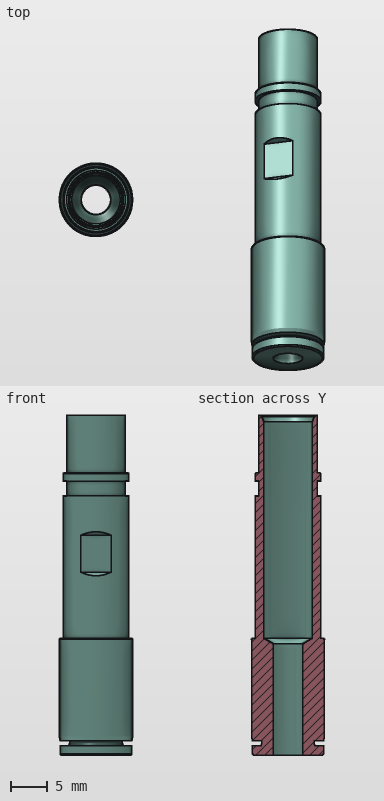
import math

import cadquery as cq

total_length = 46.4

barrel_radius = 5.0
flange_radius = 4.9
groove_radius = 3.6
groove_foot_radius = 3.7
body_radius = 4.5
tube_radius = 4.0

flange_top = 1.35
groove_foot_top = 1.7
groove_top = 2.0
barrel_taper_top = 2.6
barrel_top = 16.0
body_top = 35.4
collar_bottom = 37.4
collar_top = 38.55

flange_chamfer = 0.2
barrel_chamfer = 0.15
collar_chamfer = 0.15

through_radius = 2.0
bore_radius = 3.3
mouth_radius = 3.55
mouth_depth = 0.9
mouth_chamfer = 0.2
bore_floor = barrel_top
bore_cone_angle = 30.0
bore_cone_height = (bore_radius - through_radius) * math.tan(math.radians(bore_cone_angle))

flat_offset = 4.0
flat_center = 27.5
flat_length = 5.0
flat_depth = body_radius - flat_offset


def outer_body():
    """Revolve the stepped outside, including the snap groove and the collar."""
    profile = [
        (0, 0),
        (flange_radius - flange_chamfer, 0),
        (flange_radius, flange_chamfer),
        (flange_radius, flange_top),
        (groove_foot_radius, flange_top),
        (groove_radius, groove_foot_top),
        (groove_radius, groove_top),
        (flange_radius, groove_top),
        (barrel_radius, barrel_taper_top),
        (barrel_radius, barrel_top - barrel_chamfer),
        (barrel_radius - barrel_chamfer, barrel_top),
        (body_radius, barrel_top),
        (body_radius, body_top),
        (tube_radius, body_top),
        (tube_radius, collar_bottom),
        (body_radius, collar_bottom),
        (body_radius, collar_top - collar_chamfer),
        (body_radius - collar_chamfer, collar_top),
        (tube_radius, collar_top),
        (tube_radius, total_length),
        (0, total_length),
    ]
    return cq.Workplane("XZ").polyline(profile).close().revolve(360, (0, 0), (0, 1))


def bore():
    """Through hole, cone up to the main bore, then a tapered mouth with a chamfered rim."""
    profile = [
        (0, 0),
        (through_radius, 0),
        (through_radius, bore_floor - bore_cone_height),
        (bore_radius, bore_floor),
        (bore_radius, total_length - mouth_depth),
        (mouth_radius, total_length - mouth_chamfer),
        (mouth_radius + mouth_chamfer, total_length),
        (0, total_length),
    ]
    return cq.Workplane("XZ").polyline(profile).close().revolve(360, (0, 0), (0, 1))


def wrench_flat(side):
    """Flat with 45 degree end ramps; side is -1 for -Y and +1 for +Y."""
    half_floor = flat_length / 2
    half_opening = half_floor + flat_depth
    profile = [
        (side * flat_offset, flat_center - half_floor),
        (side * body_radius, flat_center - half_opening),
        (side * body_radius, flat_center + half_opening),
        (side * flat_offset, flat_center + half_floor),
    ]
    return cq.Workplane("YZ").polyline(profile).close().extrude(body_radius, both=True)


result = outer_body().cut(bore())
for side in (-1, 1):
    result = result.cut(wrench_flat(side))